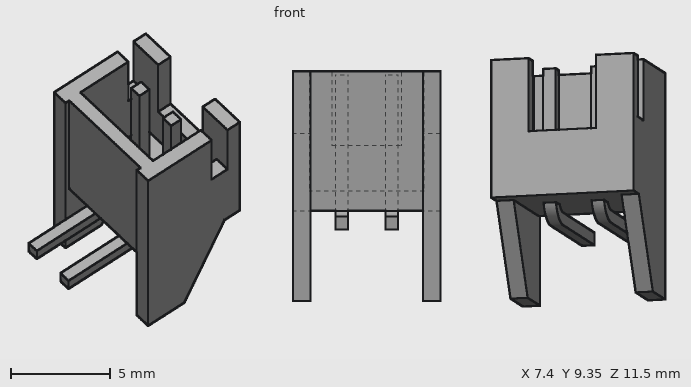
import cadquery as cq

WIDTH = 7.4
HEIGHT = 11.5
DEPTH = 5.95
TOTAL_LENGTH = 9.35
BOX_HEIGHT = 6.99
BOX_BOTTOM = HEIGHT - BOX_HEIGHT

FOOT_DEPTH = 2.35
BACK_LEDGE = 0.99

CAVITY_WIDTH = 5.7
FRONT_RIM = 1.01
BACK_WALL = 0.8
FLOOR_THICKNESS = 1.0

PLATE_GAP = 5.6
FRONT_SETBACK = 0.24

SIDE_SLOT_WIDTH = 1.02
SIDE_SLOT_DEPTH = 3.1
BACK_NOTCH_WIDTH = 3.5
BACK_NOTCH_DEPTH = 3.71

PIN_SIZE = 0.64
PIN_PITCH = 2.5
PIN_Y = 3.56
PIN_TOP = 11.3
PIN_TAIL_Z = 3.9
PIN_REACH = TOTAL_LENGTH - DEPTH
PIN_INNER_RADIUS = 0.75
PIN_BEND_RADIUS = PIN_INNER_RADIUS + PIN_SIZE / 2


def centred_box(width, y_start, y_end, z_start, z_end):
    """Box centred on x = 0 that spans the given y and z ranges."""
    return cq.Workplane("XY").box(
        width, y_end - y_start, z_end - z_start, centered=(True, False, False)
    ).translate((0, y_start, z_start))


def extrude_side_profile(points, width):
    """Extrude an outline of (y, z) points along x, centred on x = 0."""
    return cq.Workplane("YZ").polyline(points).close().extrude(width / 2, both=True)


def make_housing():
    body = extrude_side_profile(
        [
            (0, 0),
            (FOOT_DEPTH, 0),
            (DEPTH - BACK_LEDGE, BOX_BOTTOM),
            (DEPTH, BOX_BOTTOM),
            (DEPTH, HEIGHT),
            (0, HEIGHT),
        ],
        WIDTH,
    )
    plate_gap = extrude_side_profile(
        [
            (0, 0),
            (DEPTH, 0),
            (DEPTH, BOX_BOTTOM),
            (FRONT_SETBACK, BOX_BOTTOM),
            (FRONT_SETBACK, HEIGHT),
            (0, HEIGHT),
        ],
        PLATE_GAP,
    )
    cavity_back = DEPTH - BACK_WALL
    cavity = centred_box(CAVITY_WIDTH, FRONT_RIM, cavity_back, BOX_BOTTOM + FLOOR_THICKNESS, HEIGHT)
    side_slots = centred_box(
        WIDTH, cavity_back - SIDE_SLOT_WIDTH, cavity_back, HEIGHT - SIDE_SLOT_DEPTH, HEIGHT
    )
    back_notch = centred_box(BACK_NOTCH_WIDTH, cavity_back, DEPTH, HEIGHT - BACK_NOTCH_DEPTH, HEIGHT)
    return body.cut(plate_gap).cut(cavity).cut(side_slots).cut(back_notch)


def make_pin(x):
    """One square pin: a tail that runs toward +Y and bends up into the cavity."""
    centre_line = (
        cq.Workplane("YZ", origin=(x, 0, 0))
        .moveTo(-PIN_REACH, PIN_TAIL_Z)
        .lineTo(PIN_Y - PIN_BEND_RADIUS, PIN_TAIL_Z)
        .tangentArcPoint((PIN_BEND_RADIUS, PIN_BEND_RADIUS), relative=True)
        .lineTo(PIN_Y, PIN_TOP)
    )
    tail_tip = cq.Workplane("XZ", origin=(x, -PIN_REACH, PIN_TAIL_Z))
    return tail_tip.rect(PIN_SIZE, PIN_SIZE).sweep(centre_line)


pins = [make_pin(side * PIN_PITCH / 2) for side in (-1, 1)]
housing = make_housing()
for pin in pins:
    housing = housing.cut(pin)

result = cq.Compound.makeCompound([housing.val(), *[pin.val() for pin in pins]])